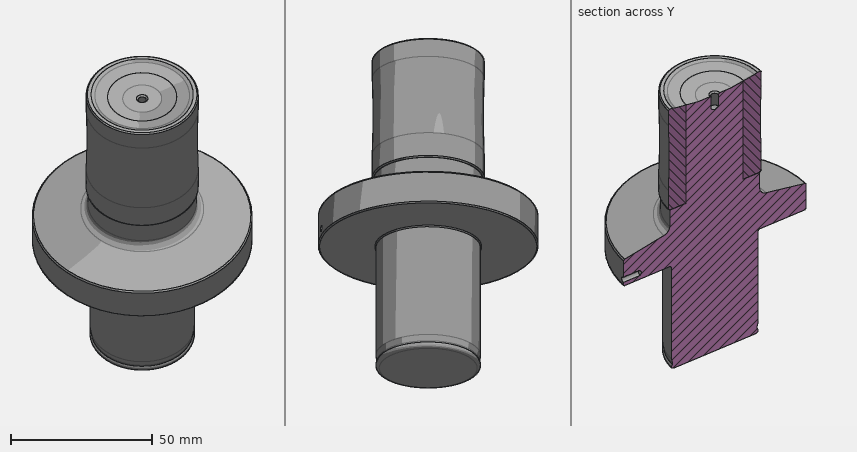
import cadquery as cq
import math

total_height = 119.0
flange_bottom = 47.0
flange_edge_top = 59.1
sleeve_bottom = 73.1

flange_radius = 38.97
flange_slope = 11.0
flange_chamfer = 0.5
neck_radius = 19.3
neck_fillet = 3.1

shank_radius = 18.6
collar_radius = 18.9
collar_height = 0.5
taper_top = 4.9
taper_end_radius = 18.1
bead_radius = 1.2
taper_neck_height = 0.5

sleeve_radius = 19.9
spigot_radius = 12.3
sleeve_chamfer = 0.5
upper_band_height = 7.1
lower_band_height = 9.3
waist_depth = 0.3

rim_radius = 18.1
dish_radius = 16.8
dish_floor_radius = 6.9
rim_drop = 0.5
dish_depth = 2.0

drill_tip_angle = 118.0
center_hole_radius = 1.4
center_hole_mouth_radius = 2.0
center_hole_depth = 6.0
side_hole_radius = 1.1
side_hole_depth = 7.1
side_hole_height = 50.0

dish_floor = total_height - dish_depth
dish_edge = total_height - rim_drop
dish_gradient = (dish_edge - dish_floor) / (dish_radius - dish_floor_radius)
spigot_edge = dish_floor + dish_gradient * (spigot_radius - dish_floor_radius)
neck_foot = flange_edge_top + (flange_radius - neck_radius) * math.tan(math.radians(flange_slope))


def revolve_profile(profile):
    """Turn a closed radius-height outline around the Z axis."""
    return profile.close().revolve(360, (0, 0, 0), (0, 1, 0))


def drill(radius, depth):
    """Drill cutter along +Z from the origin, with a conical tip beyond its depth."""
    tip_length = radius / math.tan(math.radians(drill_tip_angle / 2))
    profile = (
        cq.Workplane("XZ")
        .lineTo(radius, 0)
        .lineTo(radius, depth)
        .lineTo(0, depth + tip_length)
    )
    return revolve_profile(profile)


def make_arbor():
    """Shank, flange, neck and the spigot that carries the sleeve."""
    slope = math.radians(flange_slope)
    fillet_center_x = neck_radius + neck_fillet
    fillet_center_z = (
        neck_foot - neck_fillet * math.tan(slope) + neck_fillet / math.cos(slope)
    )

    def fillet_point(angle):
        return (
            fillet_center_x + neck_fillet * math.cos(angle),
            fillet_center_z + neck_fillet * math.sin(angle),
        )

    fillet_start = -math.pi / 2 - slope
    fillet_middle = (fillet_start - math.pi) / 2
    bead_root = shank_radius - bead_radius
    bead_top = bead_radius + math.sqrt(bead_radius**2 - (taper_end_radius - bead_root) ** 2)
    taper_bottom = bead_top + taper_neck_height
    profile = (
        cq.Workplane("XZ")
        .lineTo(bead_root, 0)
        .threePointArc((shank_radius, bead_radius), (taper_end_radius, bead_top))
        .lineTo(taper_end_radius, taper_bottom)
        .lineTo(shank_radius, taper_top)
        .lineTo(shank_radius, flange_bottom - collar_height)
        .lineTo(collar_radius, flange_bottom)
        .lineTo(flange_radius - flange_chamfer, flange_bottom)
        .lineTo(flange_radius, flange_bottom + flange_chamfer)
        .lineTo(flange_radius, flange_edge_top - flange_chamfer)
        .lineTo(
            flange_radius - flange_chamfer,
            flange_edge_top + flange_chamfer * math.tan(slope),
        )
        .lineTo(*fillet_point(fillet_start))
        .threePointArc(fillet_point(fillet_middle), fillet_point(-math.pi))
        .lineTo(neck_radius, sleeve_bottom)
        .lineTo(spigot_radius, sleeve_bottom)
        .lineTo(spigot_radius, spigot_edge)
        .lineTo(dish_floor_radius, dish_floor)
        .lineTo(0, dish_floor)
    )
    return revolve_profile(profile)


def cut_center_hole(body):
    """Blind hole down the axis with a 45 degree countersink."""
    hole = drill(center_hole_radius, center_hole_depth)
    hole = hole.rotate((0, 0, 0), (1, 0, 0), 180).translate((0, 0, dish_floor))
    mouth_depth = center_hole_mouth_radius - center_hole_radius
    mouth = cq.Workplane(
        cq.Solid.makeCone(
            center_hole_radius,
            center_hole_mouth_radius,
            mouth_depth,
            cq.Vector(0, 0, dish_floor - mouth_depth),
        )
    )
    return body.cut(hole).cut(mouth)


def cut_side_hole(body):
    """Blind radial hole in the -X side of the flange rim."""
    hole = drill(side_hole_radius, side_hole_depth).rotate((0, 0, 0), (0, 1, 0), 90)
    return body.cut(hole.translate((-flange_radius, 0, side_hole_height)))


def make_sleeve():
    """Sleeve with a slightly waisted outside and the outer part of the dished end."""
    waist_bottom = sleeve_bottom + lower_band_height
    waist_top = total_height - upper_band_height
    waist_middle = (waist_bottom + waist_top) / 2
    profile = (
        cq.Workplane("XZ")
        .moveTo(spigot_radius, sleeve_bottom)
        .lineTo(sleeve_radius - sleeve_chamfer, sleeve_bottom)
        .lineTo(sleeve_radius, sleeve_bottom + sleeve_chamfer)
        .lineTo(sleeve_radius, waist_bottom)
        .threePointArc((sleeve_radius - waist_depth, waist_middle), (sleeve_radius, waist_top))
        .lineTo(sleeve_radius, total_height - sleeve_chamfer)
        .lineTo(sleeve_radius - sleeve_chamfer, total_height)
        .lineTo(rim_radius, total_height)
        .lineTo(dish_radius, dish_edge)
        .lineTo(spigot_radius, spigot_edge)
    )
    return revolve_profile(profile)


arbor = cut_side_hole(cut_center_hole(make_arbor()))
sleeve = make_sleeve()

result = cq.Compound.makeCompound([arbor.val(), sleeve.val()])